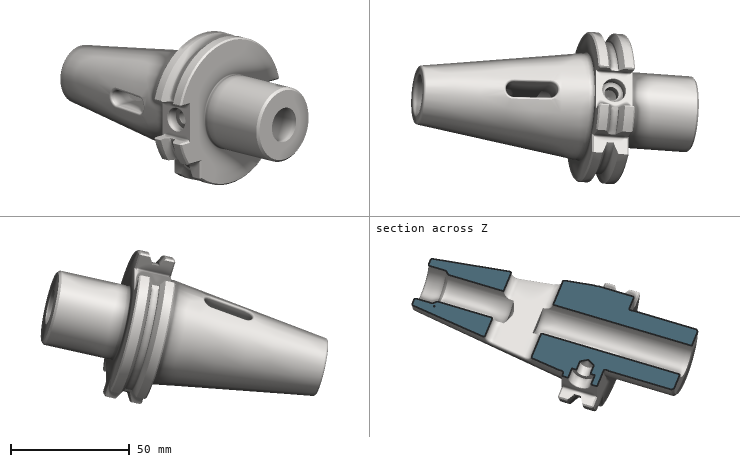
import cadquery as cq
import math

length = 118.2
flange_start = 71.4
flange_width = 15.8
flange_end = flange_start + flange_width

taper_slope = 7 / 48
taper_end = 69.2
collar_diameter = 44.9
collar_end = 70.2
flare_diameter = 45.9
small_end_radius = collar_diameter / 2 - taper_end * taper_slope
small_end_fillet = 1.1

nose_diameter = 32.0
neck_diameter = 31.7
neck_length = 1.7
neck_fillet = 0.5
nose_chamfer = 1.0

flange_diameter = 63.4
flange_radius = flange_diameter / 2
flange_chamfer = 0.65
rim_inner_radius = flange_radius - 2 * flange_chamfer
groove_center = 79.2
groove_floor_radius = 27.9
groove_floor_width = 3.1
groove_corner_radius = 28.6
groove_corner_width = 3.4
groove_half_angle = 30.0

keyway_width = 16.1
front_keyway_floor = 24.8
back_keyway_floor = 22.7
notch_offset = 18.3
inner_corner_fillet = 0.7

screw_hole_x = flange_start + flange_width / 2
counterbore_diameter = 10.0
counterbore_depth = 5.0
counterbore_chamfer = 0.18
screw_hole_diameter = 6.0
screw_hole_depth = 9.5
drill_point_angle = 118.0

entry_bore_diameter = 17.0
entry_bore_depth = 8.0
mouth_fillet = 1.0
thread_bore_diameter = 13.8
thread_bore_depth = 39.0
nose_bore_diameter = 14.9
nose_bore_end = 52.0

slot_center = 45.3
slot_length = 21.8
slot_height = 6.7
slot_fillet = 0.8


def drill_point(diameter):
    """Length of the conical tip left by a drill."""
    return diameter / 2 / math.tan(math.radians(drill_point_angle / 2))


def around_x(outline):
    """Revolve an XY outline about the X axis."""
    return outline.close().revolve(360, (0, 0, 0), (1, 0, 0))


def make_shank():
    """Tapered shank with its collar, rounded at the small end."""
    outline = (
        cq.Workplane("XY")
        .lineTo(0, small_end_radius)
        .lineTo(taper_end, collar_diameter / 2)
        .lineTo(collar_end, collar_diameter / 2)
        .tangentArcPoint((flange_start, flare_diameter / 2), relative=False)
        .lineTo(flange_start, 0)
    )
    return around_x(outline).faces("<X").edges().fillet(small_end_fillet)


def cut_cross_slot(shank):
    """Cut the slot along Y and round both of its rims."""
    reach = collar_diameter
    slot = (
        cq.Workplane("XZ", origin=(slot_center, 0, 0))
        .slot2D(slot_length, slot_height)
        .extrude(reach, both=True)
    )
    around_slot = cq.selectors.BoxSelector(
        (slot_center - slot_length, -reach, -slot_height),
        (slot_center + slot_length, reach, slot_height),
    )
    walls = cq.selectors.StringSyntaxSelector("|Y")
    return shank.cut(slot).edges(around_slot - walls).fillet(slot_fillet)


def make_nose():
    """Nose cylinder with a filleted neck against the flange."""
    outline = (
        cq.Workplane("XY")
        .moveTo(flange_end, 0)
        .lineTo(flange_end, neck_diameter / 2 + neck_fillet)
        .radiusArc((flange_end + neck_fillet, neck_diameter / 2), -neck_fillet)
        .lineTo(flange_end + neck_length, neck_diameter / 2)
        .lineTo(flange_end + neck_length, nose_diameter / 2)
        .lineTo(length, nose_diameter / 2)
        .lineTo(length, 0)
    )
    return around_x(outline).faces(">X").edges().chamfer(nose_chamfer)


def rim_cutter(y_range, z_range):
    """Square-cornered block as wide as the flange that cuts an opening in the rim."""
    y0, y1 = y_range
    z0, z1 = z_range
    return (
        cq.Workplane("YZ", origin=(flange_start, (y0 + y1) / 2, (z0 + z1) / 2))
        .rect(y1 - y0, z1 - z0)
        .extrude(flange_width)
    )


def from_axis(edge):
    """Distance of an edge's center from the X axis."""
    center = edge.Center()
    return math.hypot(center.y, center.z)


def is_keyway_floor(edge):
    """True for the flat floor of either keyway, which keeps sharp ends."""
    return abs(edge.Center().z) < keyway_width / 4 and from_axis(edge) < rim_inner_radius


def is_keyway_rim(edge):
    """True where a keyway wall meets the outside of the flange."""
    return from_axis(edge) > rim_inner_radius and abs(edge.Center().z) < keyway_width


def is_inner_corner(edge):
    """True along the inside corners of the keyways and the notch."""
    return from_axis(edge) < rim_inner_radius


def make_flange():
    """Flange disc with keyways and notch, chamfered outside and filleted in the inside corners."""
    outside = 2 * flange_radius
    keyway = (-keyway_width / 2, keyway_width / 2)
    disc = cq.Workplane("YZ", origin=(flange_start, 0, 0)).circle(flange_radius).extrude(flange_width)
    disc = disc.cut(rim_cutter((-outside, -front_keyway_floor), keyway))
    disc = disc.cut(rim_cutter((back_keyway_floor, outside), keyway))
    disc = disc.cut(rim_cutter((-outside, -notch_offset), (-outside, -notch_offset)))
    end_edges = disc.faces("<X or >X").edges().filter(lambda edge: not is_keyway_floor(edge))
    disc = end_edges.add(disc.edges("|X").filter(is_keyway_rim)).chamfer(flange_chamfer)
    return disc.edges("|X").filter(is_inner_corner).fillet(inner_corner_fillet)


def make_groove():
    """Ring cut from the rim: narrow floor, steep lower walls and 60 degree V flanks."""
    outside = 2 * flange_radius
    flare = (outside - groove_corner_radius) * math.tan(math.radians(groove_half_angle))
    outline = (
        cq.Workplane("XY")
        .moveTo(groove_center - groove_floor_width / 2, groove_floor_radius)
        .lineTo(groove_center - groove_corner_width / 2, groove_corner_radius)
        .lineTo(groove_center - groove_corner_width / 2 - flare, outside)
        .lineTo(groove_center + groove_corner_width / 2 + flare, outside)
        .lineTo(groove_center + groove_corner_width / 2, groove_corner_radius)
        .lineTo(groove_center + groove_floor_width / 2, groove_floor_radius)
    )
    return around_x(outline)


def make_entry_bore():
    """Rounded mouth, plain bore, 45 degree step and thread bore with its drill point."""
    entry_radius = entry_bore_diameter / 2
    thread_radius = thread_bore_diameter / 2
    outline = (
        cq.Workplane("XY")
        .lineTo(0, entry_radius + mouth_fillet)
        .radiusArc((mouth_fillet, entry_radius), -mouth_fillet)
        .lineTo(entry_bore_depth, entry_radius)
        .lineTo(entry_bore_depth + entry_radius - thread_radius, thread_radius)
        .lineTo(thread_bore_depth, thread_radius)
        .lineTo(thread_bore_depth + drill_point(thread_bore_diameter), 0)
    )
    return around_x(outline)


def make_nose_bore():
    """Plain bore from the nose end into the cross slot."""
    return (
        cq.Workplane("YZ", origin=(nose_bore_end, 0, 0))
        .circle(nose_bore_diameter / 2)
        .extrude(length - nose_bore_end)
    )


def make_screw_hole():
    """Counterbored blind hole along Y with a drill point."""
    bore_radius = counterbore_diameter / 2
    hole_radius = screw_hole_diameter / 2
    outline = (
        cq.Workplane("XY")
        .lineTo(bore_radius + counterbore_chamfer, 0)
        .lineTo(bore_radius, counterbore_chamfer)
        .lineTo(bore_radius, counterbore_depth)
        .lineTo(hole_radius, counterbore_depth)
        .lineTo(hole_radius, screw_hole_depth)
        .lineTo(0, screw_hole_depth + drill_point(screw_hole_diameter))
    )
    hole = outline.close().revolve(360, (0, 0, 0), (0, 1, 0))
    return hole.translate((screw_hole_x, -front_keyway_floor, 0))


body = cut_cross_slot(make_shank())
body = body.union(make_flange().cut(make_groove()))
body = body.union(make_nose())
result = body.cut(make_entry_bore()).cut(make_nose_bore()).cut(make_screw_hole())